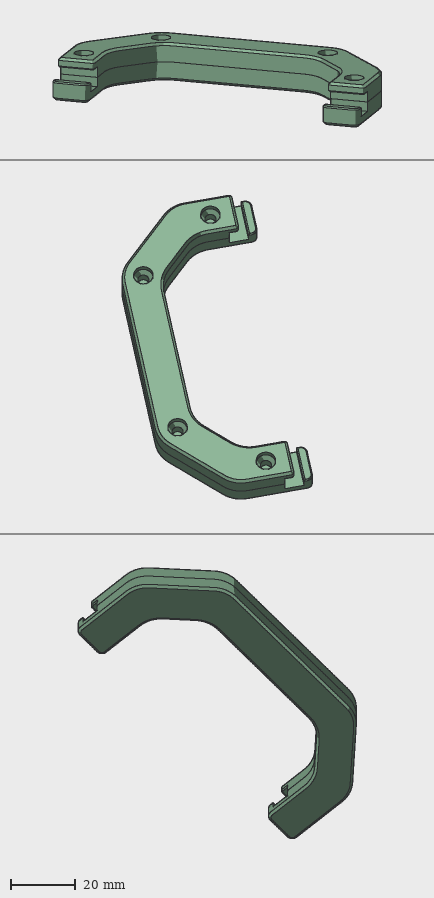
import cadquery as cq
import math

length = 100.0
depth = 45.0
height = 12.0
split_height = height / 2

band_width = 12.0
inner_bevel = 13.0
corner_radius = 10.0
edge_chamfer = 0.8

lip_thickness = 3.0
leg_wall = 9.0
upper_lip_front = 6.0
upper_lip_radius = 1.0
lower_lip_radius = 2.0
lip_chamfer = 0.4

head_diameter = 6.0
screw_diameter = 3.4
head_depth = 1.7
seat_depth = (head_diameter - screw_diameter) / 2
leg_hole_offset = 13.8

half_length = length / 2
bevel_half_angle = math.radians(45 / 2)
inner_half_length = half_length - band_width
inner_back = depth - band_width
bevel = inner_bevel + band_width * (1 - math.tan(bevel_half_angle))


def arch(front, bottom, top, end_radius):
    """Arch-shaped prism whose legs end at y = front with rounded corners."""
    half_outline = [
        (half_length, front),
        (half_length, depth - bevel),
        (half_length - bevel, depth),
    ]
    half_inner_outline = [
        (inner_half_length - inner_bevel, inner_back),
        (inner_half_length, inner_back - inner_bevel),
        (inner_half_length, front),
    ]
    right_side = half_inner_outline + half_outline
    left_side = [(-x, y) for x, y in reversed(right_side)]
    body = cq.Workplane("XY", origin=(0, 0, bottom)).polyline(right_side + left_side).close()
    body = body.extrude(top - bottom)
    corners = body.edges("|Z")
    leg_ends = corners.filter(lambda edge: edge.Center().y < front + end_radius)
    body = leg_ends.fillet(end_radius)
    bends = body.edges("|Z").filter(lambda edge: edge.Center().y > leg_wall)
    return bends.fillet(corner_radius)


def cross_slot(front, back, bottom, top):
    """Block across both legs, used to cut their hooked ends."""
    block = cq.Workplane("XY").box(length, back - front, top - bottom, centered=(True, False, False))
    return block.translate((0, front, bottom))


def screw_positions():
    """One hole in each leg and one midway between the rounds of each rear bend."""
    leg_x = half_length - band_width / 2
    round_setback = corner_radius * (1 / math.cos(bevel_half_angle) - 1)
    bend_offset = band_width / 2 / math.cos(bevel_half_angle) + round_setback
    bend_x = half_length - bevel - bend_offset * math.sin(bevel_half_angle)
    bend_y = depth - bend_offset * math.cos(bevel_half_angle)
    return [(side * x, y) for side in (-1, 1) for x, y in ((leg_x, leg_hole_offset), (bend_x, bend_y))]


def screw_cutter():
    """Turned profile of one screw hole, with the hole axis on Z."""
    seat_top = height - head_depth
    profile = [
        (0, split_height),
        (screw_diameter / 2, split_height),
        (screw_diameter / 2, seat_top - seat_depth),
        (head_diameter / 2, seat_top),
        (head_diameter / 2, height),
        (0, height),
    ]
    return cq.Workplane("XZ").polyline(profile).close().revolve(360, (0, 0), (0, 1))


def make_lower_frame():
    """Lower half, with an upturned lip at the end of each leg."""
    frame = arch(0, 0, split_height, lower_lip_radius)
    frame = frame.faces("<Z").edges().chamfer(edge_chamfer)
    frame = frame.cut(cross_slot(lip_thickness, leg_wall, lip_thickness, split_height))
    lip_tops = frame.faces(">Z").filter(lambda face: face.Center().y < leg_wall)
    return lip_tops.edges().chamfer(lip_chamfer)


def make_upper_frame():
    """Upper half, with an overhanging lip at the end of each leg."""
    lip_underside = height - lip_thickness
    frame = arch(upper_lip_front, split_height, height, upper_lip_radius)
    frame = frame.faces(">Z").edges().chamfer(edge_chamfer)
    frame = frame.cut(cross_slot(upper_lip_front, leg_wall, split_height, lip_underside))
    underside_edges = frame.faces("<Z[1]").edges()
    free_edges = underside_edges.filter(lambda edge: edge.Center().y < leg_wall - lip_chamfer)
    frame = free_edges.chamfer(lip_chamfer)
    for x, y in screw_positions():
        frame = frame.cut(screw_cutter().translate((x, y, 0)))
    return frame


lower_frame = make_lower_frame()
upper_frame = make_upper_frame()

result = cq.Compound.makeCompound([lower_frame.solids().val(), upper_frame.solids().val()])